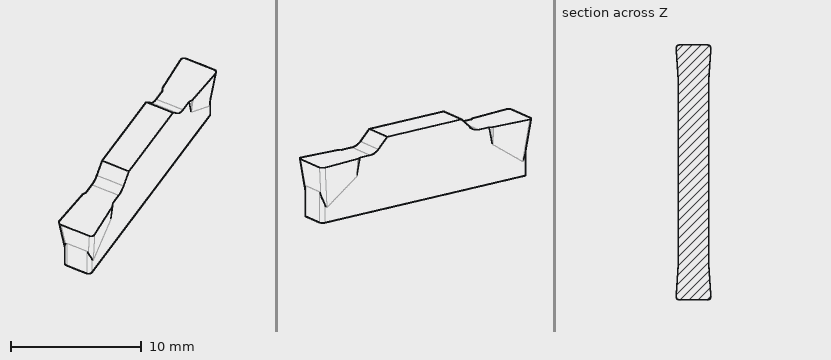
import cadquery as cq
import math

overall_length = 19.95
overall_height = 5.76
head_width = 3.05

body_width = 2.34
body_length = 19.42
body_corner_radius = 0.3
seat_height = 4.6
ridge_length = 7.03
ridge_slope = math.radians(45)
ridge_foot_radius = 1.1

side_taper = math.radians(3.8)
side_clearance = 5.5
front_clearance = math.radians(7.2)
nose_radius = 0.3
head_depth = 4.0
front_trim = 1.0

heel_distance = 3.56
heel_radius = 0.3
heel_turn = math.radians(24)
head_core_half_width = 0.9


def make_body():
    """Bar with rounded vertical corners, its middle raised to a ridge with sloped ends."""
    half_length = body_length / 2
    half_ridge = ridge_length / 2
    foot_rise = ridge_foot_radius * (1 - math.cos(ridge_slope))
    foot_run = ridge_foot_radius * math.sin(ridge_slope)
    slope_drop = overall_height - seat_height - foot_rise
    slope_end_y = half_ridge + slope_drop / math.tan(ridge_slope)
    slope_end_z = seat_height + foot_rise
    foot_y = slope_end_y + foot_run
    foot_mid_y = foot_y - ridge_foot_radius * math.sin(ridge_slope / 2)
    foot_mid_z = seat_height + ridge_foot_radius * (1 - math.cos(ridge_slope / 2))

    return (
        cq.Workplane("YZ")
        .moveTo(-half_length, 0)
        .lineTo(half_length, 0)
        .lineTo(half_length, seat_height)
        .lineTo(foot_y, seat_height)
        .threePointArc((foot_mid_y, foot_mid_z), (slope_end_y, slope_end_z))
        .lineTo(half_ridge, overall_height)
        .lineTo(-half_ridge, overall_height)
        .lineTo(-slope_end_y, slope_end_z)
        .threePointArc((-foot_mid_y, foot_mid_z), (-foot_y, seat_height))
        .lineTo(-half_length, seat_height)
        .close()
        .extrude(body_width / 2, both=True)
        .faces("<Y or >Y")
        .edges("|Z")
        .fillet(body_corner_radius)
    )


def make_head():
    """Head at the +Y end: sides lean in towards the heel and downwards, front leans back."""
    front_y = overall_length / 2
    blank_y = front_y + front_trim
    heel_y = front_y - heel_distance
    widest_y = front_y - nose_radius

    def side_x(y):
        return head_width / 2 - (widest_y - y) * math.tan(side_taper)

    heel_x = side_x(heel_y)
    center_x = heel_x - heel_radius * math.cos(side_taper)
    center_y = heel_y + heel_radius * math.sin(side_taper)

    def heel_point(turn):
        angle = side_taper + turn
        return (
            center_x + heel_radius * math.cos(angle),
            center_y - heel_radius * math.sin(angle),
        )

    heel_mid = heel_point(heel_turn / 2)
    ramp_start = heel_point(heel_turn)
    ramp_angle = side_taper + heel_turn
    ramp_end_x = head_core_half_width
    ramp_end_y = ramp_start[1] - (ramp_start[0] - ramp_end_x) / math.tan(ramp_angle)

    blank = (
        cq.Workplane("XY", origin=(0, 0, seat_height))
        .moveTo(side_x(blank_y), blank_y)
        .lineTo(heel_x, heel_y)
        .threePointArc(heel_mid, ramp_start)
        .lineTo(ramp_end_x, ramp_end_y)
        .lineTo(-ramp_end_x, ramp_end_y)
        .lineTo(-ramp_start[0], ramp_start[1])
        .threePointArc((-heel_mid[0], heel_mid[1]), (-heel_x, heel_y))
        .lineTo(-side_x(blank_y), blank_y)
        .close()
        .extrude(-head_depth, taper=side_clearance)
    )

    head_bottom = seat_height - head_depth
    front_bottom_y = front_y - head_depth * math.tan(front_clearance)
    front_envelope = (
        cq.Workplane("YZ")
        .polyline([(0, seat_height), (front_y, seat_height), (front_bottom_y, head_bottom), (0, head_bottom)])
        .close()
        .extrude(head_width, both=True)
    )
    return blank.intersect(front_envelope).faces(">Y").edges("not |X").fillet(nose_radius)


head = make_head()
result = make_body().union(head).union(head.mirror("XZ"))